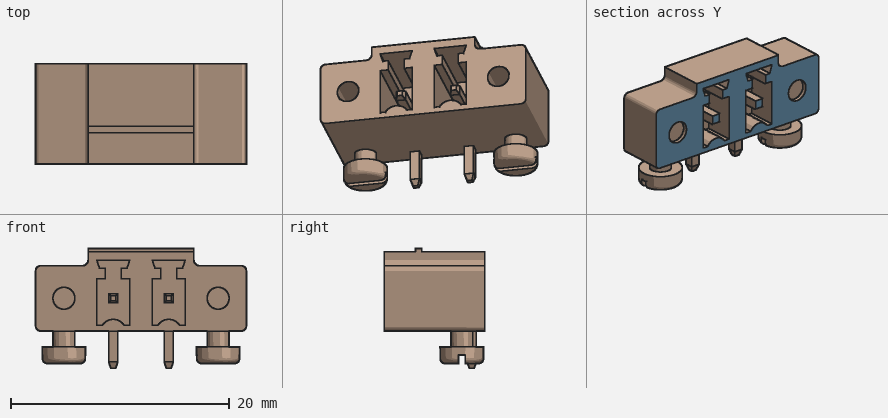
import cadquery as cq


body_width = 19.28
body_depth = 9.2
shoulder_height = 6.0
tower_width = 9.68
tower_height = 7.27
edge_radius = 0.5

rib_start = 2.85
rib_width = 0.6
rib_height = 0.29

pitch = 5.07
contact_height = 3.0
cavity_depth = 7.5
cavity_width = 3.0
cavity_bottom = 0.54
cavity_shoulder = 4.8
neck_width = 1.5
dovetail_bottom = 5.73
dovetail_bottom_width = 2.5
cavity_top = 6.5
bump_width = 2.0
bump_height = 0.54

pin_size = 0.87
pin_tip_size = 0.46
pin_tip_length = 0.6
pin_start = 1.4
pin_leg_from_back = 1.2
pin_bottom = -3.4

flange_spacing = 14.1
hole_diameter = 2.0
hole_depth = 5.0
screw_from_back = 2.1
shaft_diameter = 2.0
head_diameter = 4.0
head_top = -1.45
head_height = 1.52
head_radius = 0.5
slot_width = 0.6
slot_depth = 0.8

contact_xs = [-pitch / 2, pitch / 2]
flange_xs = [-flange_spacing / 2, flange_spacing / 2]
pin_leg_y = body_depth - pin_leg_from_back
screw_y = body_depth - screw_from_back


def make_housing():
    """Stepped block with rounded long edges and a rib on its top."""
    half_body = body_width / 2
    half_tower = tower_width / 2
    block = (
        cq.Workplane("XZ")
        .moveTo(-half_body, 0)
        .lineTo(half_body, 0)
        .lineTo(half_body, shoulder_height)
        .lineTo(half_tower, shoulder_height)
        .lineTo(half_tower, tower_height)
        .lineTo(-half_tower, tower_height)
        .lineTo(-half_tower, shoulder_height)
        .lineTo(-half_body, shoulder_height)
        .close()
        .extrude(-body_depth)
    )
    outer_edges = block.edges("|Y and (<X or >X)")
    step_edges = block.edges(
        cq.selectors.BoxSelector(
            (-half_tower - edge_radius, -body_depth, shoulder_height - edge_radius),
            (half_tower + edge_radius, 2 * body_depth, shoulder_height + edge_radius),
        )
    ).edges("|Y")
    block = outer_edges.add(step_edges).fillet(edge_radius)
    rib = cq.Workplane("XY").box(tower_width, rib_width, rib_height, centered=(True, False, False))
    return block.union(rib.translate((0, rib_start, tower_height)))


def make_cavity(x):
    """Mating cavity: wide chamber, narrow neck and dovetail, with a rounded bump on the floor."""
    half_cavity = cavity_width / 2
    half_neck = neck_width / 2
    half_dovetail = dovetail_bottom_width / 2
    half_bump = bump_width / 2
    return (
        cq.Workplane("XZ", origin=(x, 0, 0))
        .moveTo(-half_cavity, cavity_bottom)
        .lineTo(-half_bump, cavity_bottom)
        .threePointArc((0, cavity_bottom + bump_height), (half_bump, cavity_bottom))
        .lineTo(half_cavity, cavity_bottom)
        .lineTo(half_cavity, cavity_shoulder)
        .lineTo(half_neck, cavity_shoulder)
        .lineTo(half_neck, dovetail_bottom)
        .lineTo(half_dovetail, dovetail_bottom)
        .lineTo(half_cavity, cavity_top)
        .lineTo(-half_cavity, cavity_top)
        .lineTo(-half_dovetail, dovetail_bottom)
        .lineTo(-half_neck, dovetail_bottom)
        .lineTo(-half_neck, cavity_shoulder)
        .lineTo(-half_cavity, cavity_shoulder)
        .close()
        .extrude(-cavity_depth)
    )


def make_tapered_bar(plane, length):
    """Square bar along the normal of the plane, ending in a tapered tip."""
    shank_length = length - pin_tip_length
    shank = cq.Workplane(plane).rect(pin_size, pin_size).extrude(shank_length)
    tip = (
        cq.Workplane(plane)
        .workplane(offset=shank_length)
        .rect(pin_size, pin_size)
        .workplane(offset=pin_tip_length)
        .rect(pin_tip_size, pin_tip_size)
        .loft()
    )
    return shank.union(tip)


def make_pin(x):
    """Bent pin: a leg pointing down and a contact pointing at the mating face."""
    corner = (x, pin_leg_y, contact_height)
    contact = make_tapered_bar(cq.Plane(corner, (1, 0, 0), (0, -1, 0)), pin_leg_y - pin_start)
    leg = make_tapered_bar(cq.Plane(corner, (1, 0, 0), (0, 0, -1)), contact_height - pin_bottom)
    return contact.union(leg)


def make_screw(x):
    """Slotted screw pointing up into the housing."""
    head_bottom = head_top - head_height
    base = cq.Workplane("XY", origin=(x, screw_y, head_bottom))
    head = base.circle(head_diameter / 2).extrude(head_height).faces("<Z").edges().fillet(head_radius)
    slot = base.rect(head_diameter, slot_width).extrude(slot_depth)
    shaft = (
        base.workplane(offset=head_height)
        .circle(shaft_diameter / 2)
        .extrude(contact_height - head_top)
    )
    return head.cut(slot).union(shaft)


def make_flange_hole(x):
    """Blind hole in the mating face."""
    return (
        cq.Workplane("XZ", origin=(x, 0, contact_height))
        .circle(hole_diameter / 2)
        .extrude(-hole_depth)
    )


result = make_housing()
for contact_x in contact_xs:
    result = result.cut(make_cavity(contact_x)).union(make_pin(contact_x))
for flange_x in flange_xs:
    result = result.cut(make_flange_hole(flange_x)).union(make_screw(flange_x))